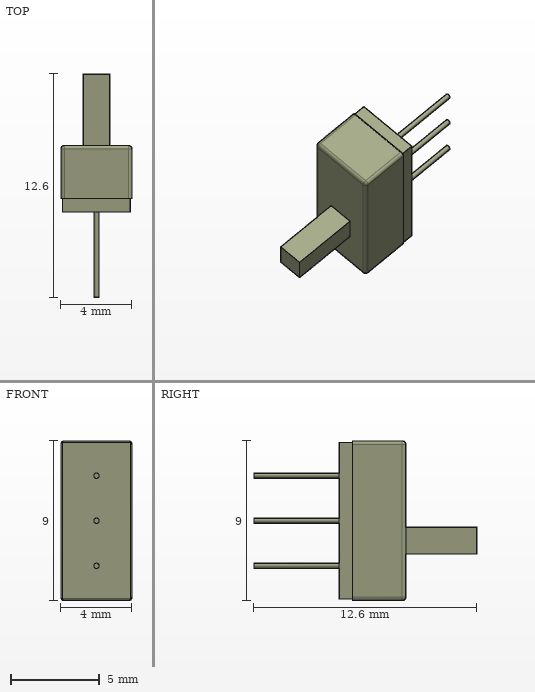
import cadquery as cq

overall_length = 12.55

housing_width = 4.0
housing_depth = 3.0
housing_height = 9.0
edge_radius = 0.2

slider_side = 1.5
slider_length = 4.0
slider_offset = -1.12

base_inset = 0.09
base_width = housing_width - 2 * base_inset
base_height = housing_height - 2 * base_inset
base_depth = 0.75

pin_count = 3
pin_diameter = 0.3
pin_pitch = 2.54
pin_length = overall_length - slider_length - housing_depth - base_depth


def make_block(width, depth, height, start_y, center_z=0.0):
    """Box centred on X = 0 that runs from start_y toward +Y."""
    return cq.Workplane("XY").box(width, depth, height).translate((0, start_y + depth / 2, center_z))


def make_pin(center_z):
    """Round pin that runs from the base face toward -Y."""
    return (
        cq.Workplane("XZ", origin=(0, -base_depth, center_z))
        .circle(pin_diameter / 2)
        .extrude(pin_length)
    )


def make_housing():
    """Housing rounded everywhere but at its parting face, with the slider on its +Y face."""
    shell = make_block(housing_width, housing_depth, housing_height, 0)
    shell = shell.edges("|Y or >Y").fillet(edge_radius)
    slider = make_block(slider_side, slider_length, slider_side, housing_depth, slider_offset)
    return shell.union(slider)


def make_base():
    """Base plate with a centred row of pins along Z."""
    base = make_block(base_width, base_depth, base_height, -base_depth)
    for index in range(pin_count):
        base = base.union(make_pin((index - (pin_count - 1) / 2) * pin_pitch))
    return base


housing = make_housing()
base = make_base()

result = cq.Compound.makeCompound([housing.solids().val(), base.solids().val()])